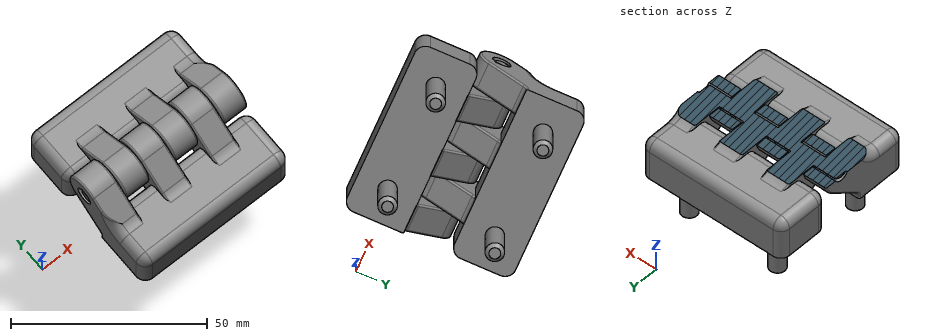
import cadquery as cq
import math

leaf_length = 48.0
leaf_width = 17.0
leaf_height = 12.5
leaf_rounding = 3.0
inner_gap = 12.95
leaf_shift = 0.2

knuckle_radius = 6.02
knuckle_top = 20.55
knuckle_width = 7.85
knuckle_clearance = 0.15
knuckles_per_leaf = 3
arm_slope = math.radians(36)
arm_blend_radius = 5.0
root_blend_radius = 2.02
arm_rounding = 0.5

pin_diameter = 5.0
pin_recess = 0.5
pin_chamfer = 0.5
stud_diameter = 5.0
stud_length = 14.95
stud_spacing = 30.0
stud_chamfer = 1.0

leaf_end_x = -(leaf_length - leaf_shift) / 2
inner_face_y = -inner_gap / 2
outer_face_y = inner_face_y - leaf_width
leaf_mid_x = leaf_end_x + leaf_length / 2
knuckle_y = inner_gap / 2 - knuckle_radius
knuckle_z = knuckle_top - knuckle_radius
knuckle_pitch = 2 * (knuckle_width + knuckle_clearance)
slope_sin = math.sin(arm_slope)
slope_cos = math.cos(arm_slope)
slope_tan = math.tan(arm_slope)

blend_z = leaf_height + arm_blend_radius
centre_distance = knuckle_radius + arm_blend_radius
blend_y = knuckle_y - (centre_distance - (blend_z - knuckle_z) * slope_cos) / slope_sin


def polar(centre_y, centre_z, radius, angle):
    """Point on a circle in the YZ plane; the angle runs from +Y towards +Z."""
    return (centre_y + radius * math.cos(angle), centre_z + radius * math.sin(angle))


def make_leaf_block():
    block = cq.Workplane("XY").box(leaf_length, leaf_width, leaf_height, centered=False)
    block = block.translate((leaf_end_x, outer_face_y, 0))
    block = block.edges("|Z and (<Y or >X)").fillet(leaf_rounding)
    return block.faces(">Z").edges().fillet(leaf_rounding)


def make_sharp_arm(start_x):
    """Knuckle arm with square side edges; its rear end is buried in the leaf block."""
    upper_angle = math.pi / 2 + arm_slope
    lower_angle = upper_angle - math.pi
    upper_tangent = polar(knuckle_y, knuckle_z, knuckle_radius, upper_angle)
    lower_tangent = polar(knuckle_y, knuckle_z, knuckle_radius, lower_angle)
    tip = polar(knuckle_y, knuckle_z, knuckle_radius, arm_slope)
    blend_start = polar(blend_y, blend_z, arm_blend_radius, lower_angle)
    blend_middle = polar(blend_y, blend_z, arm_blend_radius, (lower_angle - math.pi / 2) / 2)

    root_y = inner_face_y + root_blend_radius
    line_offset = (root_y - knuckle_y) * slope_tan
    root_z = knuckle_z + line_offset - (knuckle_radius + root_blend_radius) / slope_cos
    root_start = polar(root_y, root_z, root_blend_radius, upper_angle)
    root_middle = polar(root_y, root_z, root_blend_radius, (upper_angle + math.pi) / 2)

    outline = (
        cq.Workplane("YZ", origin=(start_x, 0, 0))
        .moveTo(blend_y, 0)
        .lineTo(blend_y, leaf_height)
        .threePointArc(blend_middle, blend_start)
        .lineTo(*upper_tangent)
        .threePointArc(tip, lower_tangent)
        .lineTo(*root_start)
        .threePointArc(root_middle, (inner_face_y, root_z))
        .lineTo(inner_face_y, 0)
        .close()
    )
    return outline.extrude(knuckle_width)


def make_end_rounding():
    """Waste that carries the leaf's end rounding along the concave blend of the end arm."""
    low_z = leaf_height - leaf_rounding
    arc_middle = polar(leaf_end_x + leaf_rounding, low_z, leaf_rounding, math.radians(135))
    profile = (
        cq.Workplane("XZ", origin=(0, blend_y, 0))
        .moveTo(leaf_end_x, low_z)
        .threePointArc(arc_middle, (leaf_end_x + leaf_rounding, leaf_height))
        .lineTo(leaf_end_x, leaf_height)
        .close()
    )
    return profile.revolve(90, (0, blend_z, 0), (1, blend_z, 0))


def make_end_arm():
    """Arm flush with the leaf end; its outer rim is rounded once it joins the leaf."""
    arm = make_sharp_arm(leaf_end_x)
    arm = arm.faces(">X").edges("not <Z").fillet(arm_rounding)
    return arm.cut(make_end_rounding())


def make_inner_arm(start_x):
    arm = make_sharp_arm(start_x)
    return arm.faces("<X or >X").edges("not <Z").fillet(arm_rounding)


def make_stud(centre_x):
    stud_y = -stud_spacing / 2
    stud = cq.Workplane("XY", origin=(centre_x, stud_y, 0))
    stud = stud.circle(stud_diameter / 2).extrude(-stud_length)
    return stud.faces("<Z").chamfer(stud_chamfer)


def make_leaf():
    leaf = make_leaf_block().union(make_end_arm())
    leaf = leaf.edges("%BSPLINE").edges("<X").fillet(arm_rounding)
    for index in range(1, knuckles_per_leaf):
        leaf = leaf.union(make_inner_arm(leaf_end_x + index * knuckle_pitch))
    hole = (
        cq.Workplane("YZ", origin=(leaf_end_x, knuckle_y, knuckle_z))
        .circle(pin_diameter / 2)
        .extrude(leaf_length)
    )
    leaf = leaf.cut(hole)
    for side in (-1, 1):
        leaf = leaf.union(make_stud(leaf_mid_x + side * stud_spacing / 2))
    return leaf


def make_pin():
    half_length = -leaf_end_x - pin_recess
    pin = (
        cq.Workplane("YZ", origin=(0, 0, knuckle_z))
        .circle(pin_diameter / 2)
        .extrude(half_length, both=True)
    )
    return pin.faces("<X or >X").chamfer(pin_chamfer)


near_leaf = make_leaf()
far_leaf = near_leaf.rotate((0, 0, 0), (0, 0, 1), 180)
result = near_leaf.union(far_leaf).union(make_pin())